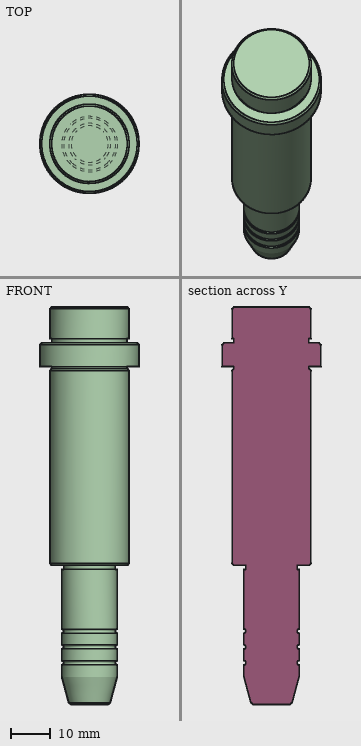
import cadquery as cq
import math

total_length = 100.0
body_bottom = 35.0
flange_bottom = 85.0
flange_top = 91.0
head_bottom = 92.0
shank_top = 34.0
taper_length = 7.0

body_radius = 10.0
flange_radius = 12.5
shank_radius = 7.0

edge_chamfer = 0.5
relief_depth = 0.5
flange_relief_width = 0.5
taper_angle = 15.0
groove_radius = 0.5
groove_count = 3
groove_pitch = 4.0
lowest_groove_z = 10.5

tip_radius = shank_radius - taper_length * math.tan(math.radians(taper_angle))


def cylinder(radius, bottom, top):
    """Cylinder on the Z axis between two heights."""
    return cq.Workplane("XY").workplane(offset=bottom).circle(radius).extrude(top - bottom)


def make_shank():
    """Tapered shank with a chamfered tip."""
    shank = (
        cq.Workplane("XZ")
        .lineTo(tip_radius, 0)
        .lineTo(shank_radius, taper_length)
        .lineTo(shank_radius, shank_top)
        .lineTo(0, shank_top)
        .close()
        .revolve(360, (0, 0, 0), (0, 1, 0))
    )
    return shank.faces("<Z").chamfer(edge_chamfer)


def make_groove(height):
    """Ring that cuts a half-round groove around the shank."""
    return (
        cq.Workplane("XZ")
        .center(shank_radius, height)
        .circle(groove_radius)
        .revolve(360, (-shank_radius, 0, 0), (-shank_radius, 1, 0))
    )


shank = make_shank()
for index in range(groove_count):
    shank = shank.cut(make_groove(lowest_groove_z + index * groove_pitch))

shank_relief = cylinder(shank_radius - relief_depth, shank_top, body_bottom)
body = cylinder(body_radius, body_bottom, flange_bottom - flange_relief_width).edges().chamfer(edge_chamfer)
flange_relief = cylinder(body_radius - relief_depth, flange_bottom - flange_relief_width, flange_bottom)
flange = cylinder(flange_radius, flange_bottom, flange_top).faces(">Z").chamfer(edge_chamfer)
head_relief = cylinder(body_radius - relief_depth, flange_top, head_bottom)
head = cylinder(body_radius, head_bottom, total_length).faces(">Z").chamfer(edge_chamfer)

result = shank
for section in (shank_relief, body, flange_relief, flange, head_relief, head):
    result = result.union(section)